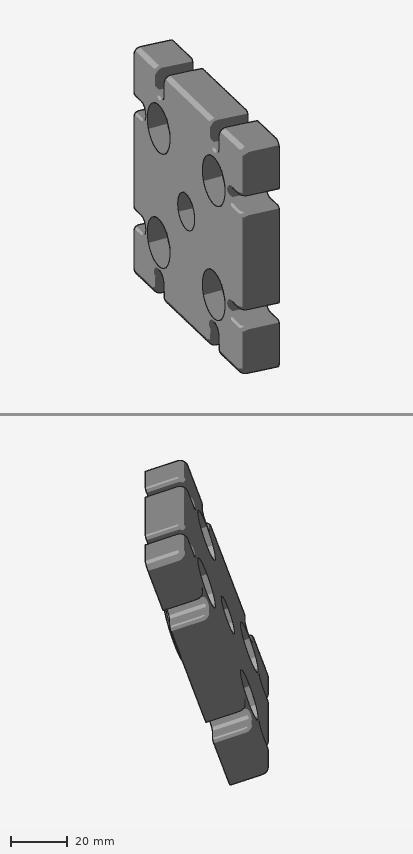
import cadquery as cq

PLATE_SIZE = 90.0
OVERALL_DEPTH = 20.0
BOSS_HEIGHT = 5.0
PLATE_THICKNESS = OVERALL_DEPTH - BOSS_HEIGHT
EDGE_RADIUS = 3.0

BOLT_OFFSET = PLATE_SIZE / 4
BOLT_DIAMETER = 13.0
COUNTERBORE_DIAMETER = 18.5
COUNTERBORE_DEPTH = 7.6

SLOT_WIDTH = 6.5
SLOT_CENTRE_DEPTH = 7.6
SLOT_EDGE_RADIUS = 1.5

BOSS_DIAMETER = 23.85
BOSS_CHAMFER = 0.7
BASE_GROOVE_WIDTH = 0.5
BASE_GROOVE_DEPTH = 0.3
BORE_DIAMETER = 13.9

HALF_SIZE = PLATE_SIZE / 2
SIDES = (-1, 1)
TOLERANCE = 0.01


def cylinder(diameter, start_y, length, x=0.0, z=0.0):
    """Cylinder running along +Y from start_y."""
    start = cq.Vector(x, start_y, z)
    return cq.Workplane(cq.Solid.makeCylinder(diameter / 2, length, start, cq.Vector(0, 1, 0)))


def make_plate():
    """Square plate with rounded corners and a rounded front rim."""
    plate = cq.Workplane("XY").box(PLATE_SIZE, PLATE_THICKNESS, PLATE_SIZE)
    plate = plate.translate((0, PLATE_THICKNESS / 2, 0))
    return plate.edges("|Y").fillet(EDGE_RADIUS).faces("<Y").edges().fillet(EDGE_RADIUS)


def slot_cutter(offset, angle):
    """Round-ended slot in the top side, turned about the Y axis by angle."""
    end_z = HALF_SIZE - SLOT_CENTRE_DEPTH
    channel = cq.Workplane("XY").box(SLOT_WIDTH, PLATE_THICKNESS, SLOT_CENTRE_DEPTH)
    channel = channel.translate((offset, PLATE_THICKNESS / 2, HALF_SIZE - SLOT_CENTRE_DEPTH / 2))
    cutter = channel.union(cylinder(SLOT_WIDTH, 0, PLATE_THICKNESS, offset, end_z))
    return cutter.rotate((0, 0, 0), (0, 1, 0), angle)


def is_slot_rim(edge):
    """True for slot edges on the front face, the plate sides and the rounded front rim."""
    centre = edge.Center()
    along, across = sorted((abs(centre.x), abs(centre.z)))
    in_slot = abs(along - BOLT_OFFSET) < SLOT_WIDTH / 2 + TOLERANCE
    on_front = centre.y < TOLERANCE
    on_back = centre.y > PLATE_THICKNESS - TOLERANCE
    on_side = across > HALF_SIZE - EDGE_RADIUS
    return in_slot and not on_back and (on_front or on_side)


def cut_slots(plate):
    """Cut two slots into every side, then round their mouths and front edges."""
    for angle in (0, 90, 180, 270):
        for side in SIDES:
            plate = plate.cut(slot_cutter(side * BOLT_OFFSET, angle))
    return plate.edges().filter(is_slot_rim).fillet(SLOT_EDGE_RADIUS)


def cut_bolt_holes(plate):
    """Cut the four through holes, counterbored from the front."""
    for x_side in SIDES:
        for z_side in SIDES:
            x = x_side * BOLT_OFFSET
            z = z_side * BOLT_OFFSET
            plate = plate.cut(cylinder(BOLT_DIAMETER, 0, PLATE_THICKNESS, x, z))
            plate = plate.cut(cylinder(COUNTERBORE_DIAMETER, 0, COUNTERBORE_DEPTH, x, z))
    return plate


def make_boss():
    """Round boss with a chamfered end, a shallow V-groove at its foot and a root inside the plate."""
    radius = BOSS_DIAMETER / 2
    root_y = PLATE_THICKNESS / 2
    profile = (
        cq.Workplane("XY")
        .moveTo(0, root_y)
        .lineTo(radius, root_y)
        .lineTo(radius, PLATE_THICKNESS)
        .lineTo(radius - BASE_GROOVE_DEPTH, PLATE_THICKNESS + BASE_GROOVE_WIDTH / 2)
        .lineTo(radius, PLATE_THICKNESS + BASE_GROOVE_WIDTH)
        .lineTo(radius, OVERALL_DEPTH - BOSS_CHAMFER)
        .lineTo(radius - BOSS_CHAMFER, OVERALL_DEPTH)
        .lineTo(0, OVERALL_DEPTH)
        .close()
    )
    return profile.revolve(360, (0, 0, 0), (0, 1, 0))


plate = cut_bolt_holes(cut_slots(make_plate()))
bore = cylinder(BORE_DIAMETER, 0, OVERALL_DEPTH)
result = plate.union(make_boss()).cut(bore)